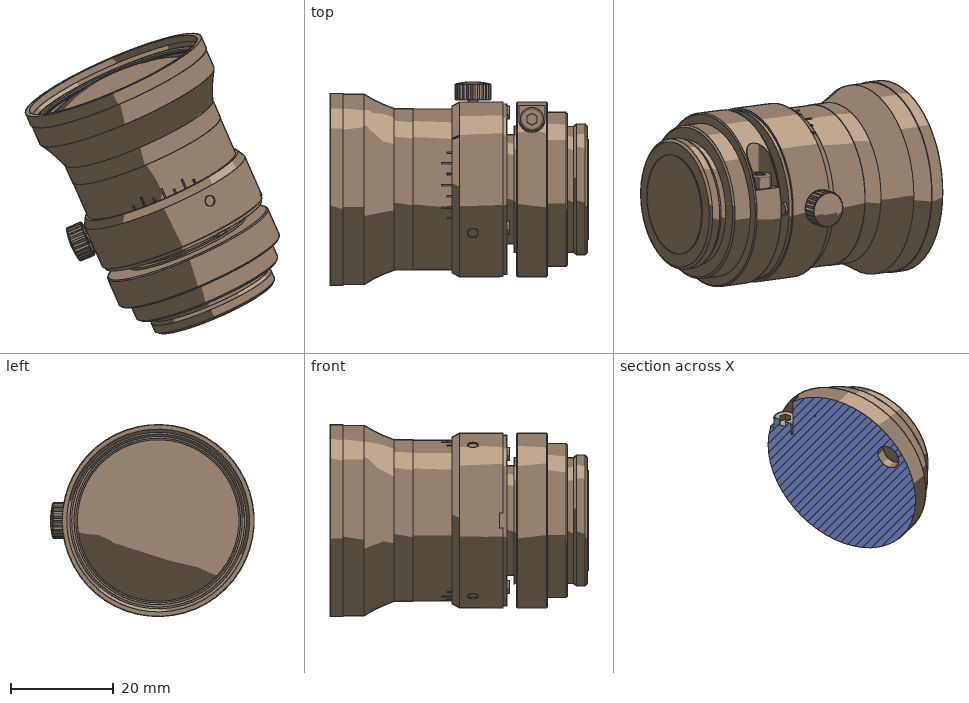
import cadquery as cq
import math


length = 50.2
rim_end = 2.5
hood_end = 6.65
flare_end = 12.45
band_end = 16.1
barrel_end = 23.65
iris_bevel_end = 25.15
iris_end = 33.65
lip_end = 34.35
shaft_end = 35.8
clamp_start = 36.2
clamp_end = 42.25
flange_end = 46.2
neck_end = 47.3
thread_start = 47.95
thread_end = 49.55
mount_end = 50.0

rim_radius = 18.65
hood_radius = 18.5
flare_mid_radius = 16.9
band_radius = 31.5 / 2
barrel_radius = 31.3 / 2
iris_bevel_radius = 16.15
iris_radius = 17.0
lip_radius = 16.6
shaft_radius = 21.35 / 2
spacer_radius = 24.6 / 2
clamp_radius = iris_radius
flange_radius = 15.0
neck_radius = 12.25
thread_radius = 12.75
mount_radius = 12.25
rear_face_radius = 19.5 / 2
edge_bevel = 0.25
flange_bevel = 0.35

clearance = 0.5

bore_radius = 17.75
bore_depth = 1.3
cone_end_radius = 17.15
cone_end_depth = 2.05
retainer_radius = 16.8
glass_seat_radius = 16.35
glass_seat_depth = 2.25
glass_bore_radius = 16.0
glass_bore_depth = 2.6
glass_edge_radius = 15.7
glass_land_depth = 2.8
glass_edge_depth = 3.4
glass_apex_depth = 0.2

screw_station = 27.75
set_screw_diameter = 2.05
set_screw_depth = 0.3
notch_width = 2.95
notch_start = 32.95
lip_screw_diameter = 2.5
lip_screw_circle_radius = 14.95
lip_screw_height = 0.55
lip_screw_angles = (0, 120, 240)
set_screw_angles = (120, 240)

knob_diameter = 7.05
knob_stem_root = 16.55
knob_bottom = 17.35
knob_top = 20.55
knob_apex = 20.95
knob_stem_diameter = 2.0
knob_bevel = 0.2
knurl_count = 24
knurl_depth = 0.2

clamp_screw_x = (clamp_start + clamp_end) / 2
clamp_screw_y = 13.65
clamp_pocket_width = 5.05
clamp_pocket_floor = 4.7
clamp_head_diameter = 4.5
clamp_head_height = 2.5
clamp_head_fillet = 0.3
clamp_hex_flats = 2.0
clamp_hex_depth = 1.25
hex_turn = 30

recess_diameter = 4.7
recess_circle_radius = 13.4
recess_angle = 143.0
recess_depth = 4.0

scale_turns = (0, 180)
tick_count = 7
tick_pitch = 8.05
first_tick_angle = 27.2
short_tick_length = 0.9
long_tick_length = 1.95
mark_width = 0.3
mark_depth = 0.1
index_angle = 37.6


def barrel():
    """Turned body: the (x, radius) outline revolved about X."""
    glass_mid_radius = glass_edge_radius / 2
    glass_sag = glass_edge_depth - glass_apex_depth
    glass_sphere = (glass_edge_radius**2 + glass_sag**2) / (2 * glass_sag)
    glass_mid_depth = glass_apex_depth + glass_sphere - math.sqrt(glass_sphere**2 - glass_mid_radius**2)

    outline = (
        cq.Workplane("XY")
        .moveTo(glass_apex_depth, 0)
        .threePointArc((glass_mid_depth, glass_mid_radius), (glass_edge_depth, glass_edge_radius))
        .lineTo(glass_land_depth, glass_edge_radius)
        .lineTo(glass_land_depth, glass_bore_radius)
        .lineTo(glass_bore_depth, glass_bore_radius)
        .lineTo(glass_bore_depth, glass_seat_radius)
        .lineTo(glass_seat_depth, glass_seat_radius)
        .lineTo(cone_end_depth, retainer_radius)
        .lineTo(cone_end_depth, cone_end_radius)
        .lineTo(bore_depth, bore_radius)
        .lineTo(0, bore_radius)
        .lineTo(0, rim_radius)
        .lineTo(rim_end, rim_radius)
        .lineTo(rim_end, hood_radius)
        .lineTo(hood_end, hood_radius)
        .threePointArc(((hood_end + flare_end) / 2, flare_mid_radius), (flare_end, band_radius))
        .lineTo(band_end, band_radius)
        .lineTo(band_end, barrel_radius)
        .lineTo(barrel_end, barrel_radius)
        .lineTo(barrel_end, iris_bevel_radius)
        .lineTo(iris_bevel_end, iris_radius)
        .lineTo(iris_end, iris_radius)
        .lineTo(iris_end, lip_radius)
        .lineTo(lip_end, lip_radius)
        .lineTo(lip_end, shaft_radius)
        .lineTo(shaft_end, shaft_radius)
        .lineTo(shaft_end, spacer_radius)
        .lineTo(clamp_start, spacer_radius)
        .lineTo(clamp_start, clamp_radius - edge_bevel)
        .lineTo(clamp_start + edge_bevel, clamp_radius)
        .lineTo(clamp_end - edge_bevel, clamp_radius)
        .lineTo(clamp_end, clamp_radius - edge_bevel)
        .lineTo(clamp_end, flange_radius)
        .lineTo(flange_end - flange_bevel, flange_radius)
        .lineTo(flange_end, flange_radius - flange_bevel)
        .lineTo(flange_end, neck_radius)
        .lineTo(neck_end, neck_radius)
        .lineTo(thread_start, thread_radius)
        .lineTo(thread_end, thread_radius)
        .lineTo(mount_end, mount_radius)
        .lineTo(mount_end, rear_face_radius)
        .lineTo(length, rear_face_radius)
        .lineTo(length, 0)
        .close()
    )
    return outline.revolve(360, (0, 0, 0), (1, 0, 0))


def turned(shape, angle):
    """Turn a shape about the barrel axis."""
    return shape.rotate((0, 0, 0), (1, 0, 0), angle)


def lip_notch():
    """Notch in the rear edge of the iris ring, down to the lip, on the -Y side."""
    section = cq.Workplane("YZ").workplane(offset=notch_start)
    section = section.circle(iris_radius + clearance).circle(lip_radius)
    ring = section.extrude(iris_end - notch_start)
    window = cq.Workplane("XY").box(length, iris_radius * 2, notch_width)
    return ring.intersect(window.translate((length / 2, -iris_radius, 0)))


def lip_screw():
    """Screw head on the rear face of the lip, at +Y."""
    head = cq.Workplane("YZ").workplane(offset=lip_end)
    return head.center(lip_screw_circle_radius, 0).circle(lip_screw_diameter / 2).extrude(lip_screw_height)


def set_screw_hole():
    """Shallow round recess in the iris ring, at +Y."""
    hole = cq.Workplane("XZ").workplane(offset=-(iris_radius - set_screw_depth))
    return hole.center(screw_station, 0).circle(set_screw_diameter / 2).extrude(-2 * set_screw_depth)


def knob():
    """Knurled thumb screw with a domed top, on a short stem."""
    radius = knob_diameter / 2
    dome_radius = radius - knob_bevel
    dome_mid_height = knob_apex - (knob_apex - knob_top) / 4
    body = (
        cq.Workplane("XY")
        .moveTo(0, knob_stem_root)
        .lineTo(knob_stem_diameter / 2, knob_stem_root)
        .lineTo(knob_stem_diameter / 2, knob_bottom)
        .lineTo(dome_radius, knob_bottom)
        .lineTo(radius, knob_bottom + knob_bevel)
        .lineTo(radius, knob_top - knob_bevel)
        .lineTo(dome_radius, knob_top)
        .threePointArc((dome_radius / 2, dome_mid_height), (0, knob_apex))
        .close()
        .revolve(360, (0, 0, 0), (0, 1, 0))
    )
    half_pitch = math.pi / knurl_count
    teeth = [
        (
            (radius - knurl_depth * (i % 2)) * math.cos(i * half_pitch),
            (radius - knurl_depth * (i % 2)) * math.sin(i * half_pitch),
        )
        for i in range(2 * knurl_count)
    ]
    toothed_bar = cq.Workplane("XZ").polyline(teeth).close().extrude(-2 * knob_apex)
    return body.intersect(toothed_bar).translate((screw_station, 0, 0))


def clamp_pocket():
    """Round-ended pocket in the clamp ring, open towards +Y."""
    pocket = cq.Workplane("XY").workplane(offset=clamp_pocket_floor).center(clamp_screw_x, clamp_screw_y)
    round_end = pocket.circle(clamp_pocket_width / 2).extrude(clamp_radius)
    open_side = pocket.rect(clamp_pocket_width, 2 * (clamp_radius - clamp_screw_y)).extrude(clamp_radius)
    lower_half = cq.Workplane("XY").box(length, clamp_screw_y, 2 * clamp_radius)
    lower_half = lower_half.translate((length / 2, clamp_screw_y / 2, 0))
    return open_side.cut(lower_half).union(round_end)


def clamp_screw():
    """Socket head screw standing on the pocket floor."""
    head = cq.Workplane("XY").workplane(offset=clamp_pocket_floor).center(clamp_screw_x, clamp_screw_y)
    head = head.circle(clamp_head_diameter / 2).extrude(clamp_head_height)
    head = head.faces(">Z").edges().fillet(clamp_head_fillet)
    hex_across_corners = clamp_hex_flats / math.cos(math.pi / 6)
    socket = cq.Workplane("XY").polygon(6, hex_across_corners).extrude(-clamp_hex_depth)
    socket = socket.rotate((0, 0, 0), (0, 0, 1), hex_turn)
    top = clamp_pocket_floor + clamp_head_height
    return head.cut(socket.translate((clamp_screw_x, clamp_screw_y, top)))


def clamp_recess():
    """Round blind hole into the clamp ring from its front face, at +Y."""
    hole = cq.Workplane("YZ").workplane(offset=clamp_start)
    return hole.center(recess_circle_radius, 0).circle(recess_diameter / 2).extrude(recess_depth)


def scale_ticks():
    """List of alternating short and long ticks in front of the iris ring, around +Z."""
    ticks = []
    for i in range(tick_count):
        tick_length = long_tick_length if i % 2 else short_tick_length
        tick = cq.Workplane("XY").box(tick_length, mark_width, 2 * mark_depth)
        tick = tick.translate((barrel_end - tick_length / 2, 0, barrel_radius))
        ticks.append(turned(tick, i * tick_pitch - first_tick_angle))
    return ticks


def index_mark():
    """Engraved line across the bevel of the iris ring."""
    mark = (
        cq.Workplane("XZ")
        .moveTo(barrel_end, iris_bevel_radius - mark_depth)
        .lineTo(iris_bevel_end, iris_radius - mark_depth)
        .lineTo(iris_bevel_end, iris_radius + clearance)
        .lineTo(barrel_end, iris_radius + clearance)
        .close()
        .extrude(mark_width / 2, both=True)
    )
    return turned(mark, -index_angle)


result = barrel().cut(lip_notch())
for angle in lip_screw_angles:
    result = result.union(turned(lip_screw(), angle))
for angle in set_screw_angles:
    result = result.cut(turned(set_screw_hole(), angle))
result = result.union(knob())
result = result.cut(clamp_pocket()).union(clamp_screw())
result = result.cut(turned(clamp_recess(), recess_angle))
for scale_turn in scale_turns:
    for tick in scale_ticks():
        result = result.cut(turned(tick, scale_turn))
result = result.cut(index_mark())